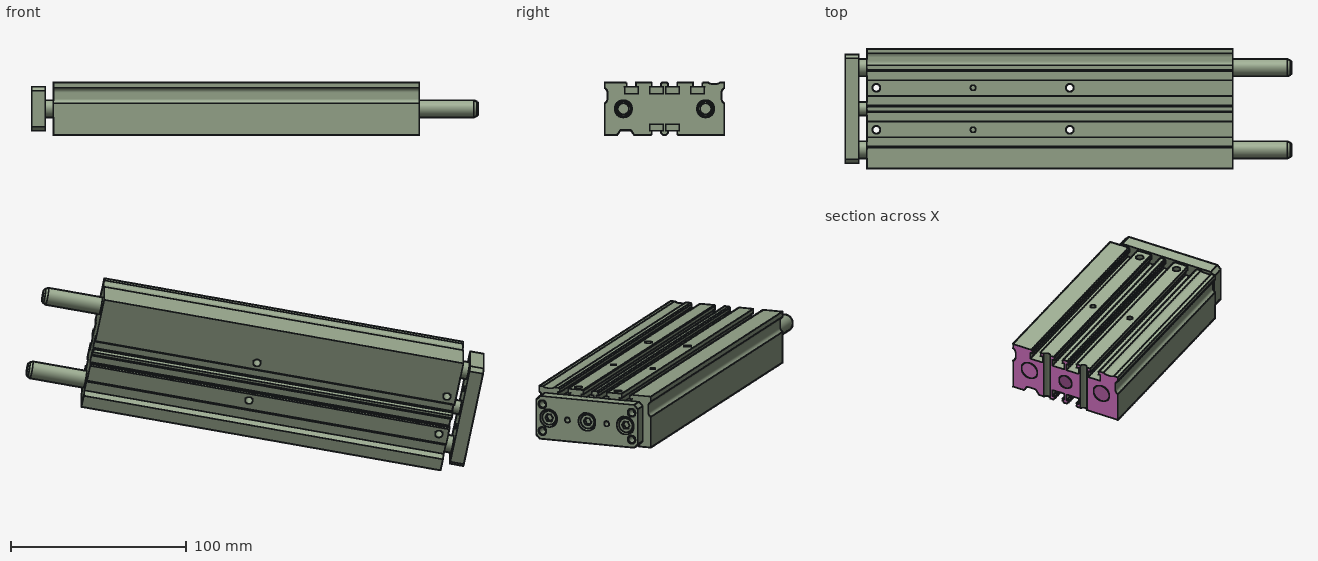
import cadquery as cq
import math

total_length = 254.0
plate_thickness = 8.0
housing_start = 12.5
housing_end = 220.5
housing_length = housing_end - housing_start

housing_width = 68.0
housing_height = 30.0
half_width = housing_width / 2
half_height = housing_height / 2

t_slot_width = 5.0
t_slot_head_width = 7.5
t_slot_lip = 2.5
t_slot_depth = 6.4
slot_chamfer = 0.8
slot_edge_break = 0.38
rib_bottom_chamfer = 1.3
outer_slot_offset = 18.8
rib_width = 4.0
rib_slot_offset = (rib_width + t_slot_width) / 2

arc_rise = 0.8
top_groove_offset = 28.2
top_groove_floor = 2.3
top_groove_run = 2.3
side_groove_drop = 3.0
side_groove_floor = 3.8
side_groove_run = 1.8
side_groove_lip = 0.8

channel_offset = -22.0
channel_mouth = 9.7
channel_floor = 5.5
channel_depth = 3.0

mount_hole_diameter = 4.3
dowel_hole_diameter = 3.0
dowel_hole_depth = 6.0
hole_offset = 12.0
mount_hole_first = 17.8
mount_hole_spacing = 110.0
mount_hole_stations = (mount_hole_first, mount_hole_first + mount_hole_spacing)
dowel_station = mount_hole_first + mount_hole_spacing / 2

plate_width = 62.0
plate_height = 25.1
plate_chamfer = 2.3
corner_hole_diameter = 4.0
corner_hole_chamfer = 0.38
corner_hole_y = 27.2
corner_hole_z = 8.0
pin_hole_diameter = 3.0
pin_hole_y = 12.0

guide_diameter = 10.0
guide_offset = 23.4
piston_diameter = 8.0
piston_end = 203.2
head_diameter = 8.1
counterbore_diameter = 10.5
head_recess = 0.8
head_height = 5.0
socket_flats = 4.0
socket_depth = 2.5
tip_taper_length = 1.5
tip_taper_drop = 0.8
tip_chamfer = 1.0


def yz_plane(x):
    """Plane across the rods at station x, with local axes along Y and Z."""
    return cq.Workplane("YZ", origin=(x, 0, 0))


def cylinder(y, diameter, start, end):
    """Cylinder along X at height Z = 0."""
    return yz_plane(start).center(y, 0).circle(diameter / 2).extrude(end - start)


def along_housing(sketch):
    """Sweep a closed profile over the whole length of the housing."""
    return sketch.close().extrude(housing_length)


def t_slot(offset, side, face, inner_chamfer, outer_chamfer):
    """T-slot in the top (face = 1) or bottom (face = -1), with the given chamfers at its mouth."""
    inner = offset - t_slot_width / 2
    outer = offset + t_slot_width / 2
    head_inner = offset - t_slot_head_width / 2
    head_outer = offset + t_slot_head_width / 2
    lip_z = half_height - t_slot_lip
    floor_z = half_height - t_slot_depth
    outline = [
        (inner - inner_chamfer, half_height),
        (inner, half_height - inner_chamfer),
        (inner, lip_z),
        (head_inner, lip_z),
        (head_inner, floor_z),
        (head_outer, floor_z),
        (head_outer, lip_z),
        (outer, lip_z),
        (outer, half_height - outer_chamfer),
        (outer + outer_chamfer, half_height),
    ]
    corners = list(dict.fromkeys(outline))
    return along_housing(yz_plane(housing_start).polyline([(side * y, face * z) for y, z in corners]))


def arc_middle(run, rise):
    """Middle of an arc that leaves (0, 0) along the run and ends at (run, rise)."""
    radius = (run**2 + rise**2) / (2 * rise)
    half_angle = math.atan2(rise, run)
    return radius * math.sin(half_angle), radius * (1 - math.cos(half_angle))


def top_groove():
    """Shallow groove whose flat floor runs up to the top face in arcs."""
    mid_run, mid_rise = arc_middle(top_groove_run, arc_rise)
    half_floor = top_groove_floor / 2
    floor_z = half_height - arc_rise
    y0 = top_groove_offset
    sketch = (
        yz_plane(housing_start)
        .moveTo(y0 - half_floor, floor_z)
        .lineTo(y0 + half_floor, floor_z)
        .threePointArc(
            (y0 + half_floor + mid_run, floor_z + mid_rise), (y0 + half_floor + top_groove_run, half_height)
        )
        .lineTo(y0 - half_floor - top_groove_run, half_height)
        .threePointArc((y0 - half_floor - mid_run, floor_z + mid_rise), (y0 - half_floor, floor_z))
    )
    return along_housing(sketch)


def side_groove(side):
    """Groove in a side face: flat floor, arcs at its edges and a chamfered mouth."""
    mid_run, mid_rise = arc_middle(side_groove_run, arc_rise)
    mouth_top = half_height - side_groove_drop
    arc_top = mouth_top - side_groove_lip
    floor_top = arc_top - side_groove_run
    floor_bottom = floor_top - side_groove_floor
    arc_bottom = floor_bottom - side_groove_run
    lip_y = side * (half_width - side_groove_lip)
    floor_y = side * (half_width - side_groove_lip - arc_rise)
    mid_y = floor_y + side * mid_rise
    sketch = (
        yz_plane(housing_start)
        .moveTo(side * half_width, mouth_top)
        .lineTo(lip_y, arc_top)
        .threePointArc((mid_y, floor_top + mid_run), (floor_y, floor_top))
        .lineTo(floor_y, floor_bottom)
        .threePointArc((mid_y, floor_bottom - mid_run), (lip_y, arc_bottom))
        .lineTo(side * half_width, arc_bottom - side_groove_lip)
    )
    return along_housing(sketch)


def relief_channel():
    """Tapered channel in the bottom face."""
    outline = [
        (channel_offset - channel_mouth / 2, -half_height),
        (channel_offset - channel_floor / 2, -half_height + channel_depth),
        (channel_offset + channel_floor / 2, -half_height + channel_depth),
        (channel_offset + channel_mouth / 2, -half_height),
    ]
    return along_housing(yz_plane(housing_start).polyline(outline))


def make_housing():
    """Extruded housing with its grooves, holes and the rod bores."""
    body = yz_plane(housing_start).rect(housing_width, housing_height).extrude(housing_length)
    for side in (-1, 1):
        body = body.cut(side_groove(side))
        body = body.cut(t_slot(outer_slot_offset, side, 1, 0, slot_chamfer))
        body = body.cut(t_slot(rib_slot_offset, side, 1, slot_chamfer, slot_edge_break))
        body = body.cut(t_slot(rib_slot_offset, side, -1, rib_bottom_chamfer, slot_chamfer))
        body = body.cut(cylinder(side * guide_offset, guide_diameter, housing_start, housing_end))
    body = body.cut(top_groove()).cut(relief_channel())
    body = body.cut(cylinder(0, piston_diameter, housing_start, piston_end))

    top = cq.Workplane("XY", origin=(0, 0, half_height))
    mount_points = [(x, side * hole_offset) for x in mount_hole_stations for side in (-1, 1)]
    dowel_points = [(dowel_station, side * hole_offset) for side in (-1, 1)]
    mount_holes = top.pushPoints(mount_points).circle(mount_hole_diameter / 2).extrude(-housing_height)
    dowel_holes = top.pushPoints(dowel_points).circle(dowel_hole_diameter / 2).extrude(-dowel_hole_depth)
    return body.cut(mount_holes).cut(dowel_holes)


def make_end_plate():
    """End plate with counterbored rod holes, corner holes and pin holes."""
    plate = yz_plane(0).rect(plate_width, plate_height).extrude(plate_thickness)
    plate = plate.edges("|X").chamfer(plate_chamfer)
    for y in (-guide_offset, 0, guide_offset):
        plate = plate.cut(cylinder(y, counterbore_diameter, 0, head_recess + head_height))
        plate = plate.cut(cylinder(y, head_diameter, 0, plate_thickness))
    corners = yz_plane(0).rect(2 * corner_hole_y, 2 * corner_hole_z, forConstruction=True).vertices()
    corner_holes = corners.circle(corner_hole_diameter / 2).extrude(plate_thickness)
    rims = corners.circle(corner_hole_diameter / 2 + corner_hole_chamfer)
    countersinks = rims.extrude(corner_hole_chamfer, taper=45)
    plate = plate.cut(corner_holes).cut(countersinks)
    pins = yz_plane(0).pushPoints([(-pin_hole_y, 0), (pin_hole_y, 0)])
    return plate.cut(pins.circle(pin_hole_diameter / 2).extrude(plate_thickness))


def add_socket_head(rod, y):
    """Carry a rod through the end plate and give its end a hexagon socket."""
    rod = rod.union(cylinder(y, head_diameter, head_recess, plate_thickness))
    socket_corners = socket_flats / math.cos(math.pi / 6)
    socket = yz_plane(head_recess).center(y, 0).polygon(6, socket_corners).extrude(socket_depth)
    return rod.cut(socket)


def make_guide_rod(y):
    """Guide rod through the housing, tapered and chamfered at its free end."""
    radius = guide_diameter / 2
    tip_start = total_length - tip_chamfer - tip_taper_length
    shaft = cylinder(y, guide_diameter, plate_thickness, tip_start)
    taper_end = total_length - tip_chamfer
    half_outline = [
        (tip_start, 0),
        (tip_start, radius),
        (taper_end, radius - tip_taper_drop),
        (total_length, radius - tip_taper_drop - tip_chamfer),
        (total_length, 0),
    ]
    tip = cq.Workplane("XY").polyline(half_outline).close().revolve(360, (0, 0, 0), (1, 0, 0))
    return add_socket_head(shaft.union(tip.translate((0, y, 0))), y)


def make_piston_rod():
    """Piston rod on the centre line, ending inside the housing."""
    return add_socket_head(cylinder(0, piston_diameter, plate_thickness, piston_end), 0)


housing = make_housing()
end_plate = make_end_plate()
piston_rod = make_piston_rod()
guide_rods = [make_guide_rod(side * guide_offset) for side in (-1, 1)]

result = cq.Compound.makeCompound(
    [housing.val(), end_plate.val(), piston_rod.val(), *[rod.val() for rod in guide_rods]]
)